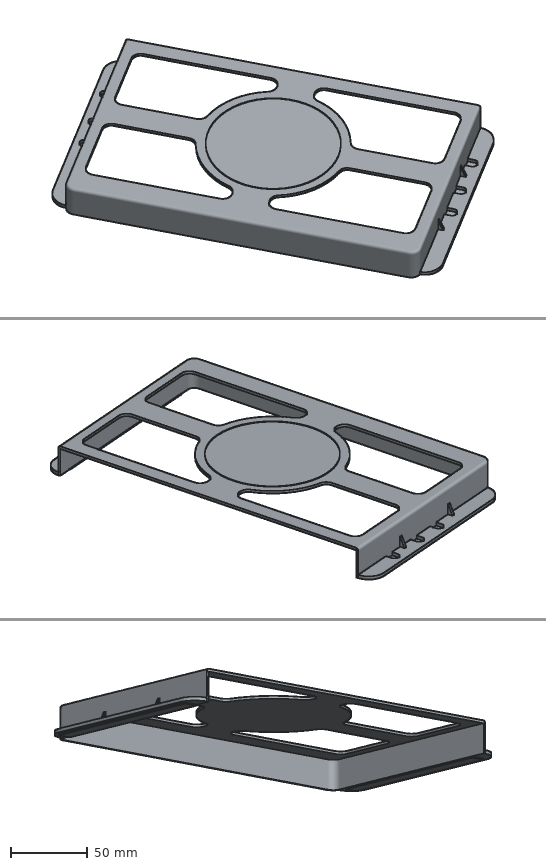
import cadquery as cq

body_width = 241.3
body_height = 22.22
body_depth = 150.98
back_y = 72.4
front_y = back_y - body_depth
wall_thickness = 1.5
panel_thickness = 2.0
corner_radius = 6.8
top_edge_radius = 2.0

disc_radius = 50.8
recess_radius = 44.3
recess_depth = 0.5
window_outer_x = 112.0
window_inner_x = 12.7
window_outer_y = 61.3
window_inner_y = 9.7
window_corner_radius = 6.35

total_width = 265.3
total_height = 23.06
flange_length = 146.2
flange_thickness = 2.5
flange_corner_radius = 12.3
pad_thickness = total_height - body_height
pad_edge_gap = 3.4
pad_width = 9.6
pad_back_y = 60.5
pad_front_y = -65.7

slot_width = 6.8
slot_edge_gap = 4.2
slot_positions = (37.7, 9.9, -12.1)
rib_positions = (24.4, -29.8)
rib_thickness = 2.0
rib_length = 3.7
rib_height = 7.6

body_half_width = body_width / 2
flange_half_width = total_width / 2
inner_half_width = body_half_width - wall_thickness


def box(x_min, x_max, y_min, y_max, z_min, z_max):
    """Axis-aligned box between the given limits."""
    size = (x_max - x_min, y_max - y_min, z_max - z_min)
    return cq.Workplane("XY").box(*size, centered=False).translate((x_min, y_min, z_min))


def make_body():
    """Cover open at the bottom and the back, rounded at the front corners and along the top edges."""
    outer = box(-body_half_width, body_half_width, front_y, back_y, 0, body_height)
    outer = outer.edges("|Z and <Y").fillet(corner_radius)
    outer = outer.faces(">Z").edges("not >Y").fillet(top_edge_radius)
    cavity = box(
        -inner_half_width,
        inner_half_width,
        front_y + wall_thickness,
        back_y,
        0,
        body_height - panel_thickness,
    )
    cavity = cavity.edges("|Z and <Y").fillet(corner_radius - wall_thickness)
    return outer.cut(cavity)


def make_window():
    """Cutter for the +X +Y window: a rectangle bitten by the disc, with all its corners rounded."""
    window = box(window_inner_x, window_outer_x, window_inner_y, window_outer_y, 0, body_height)
    disc = cq.Workplane("XY").circle(disc_radius).extrude(body_height)
    return window.cut(disc).edges("|Z").fillet(window_corner_radius)


def cut_windows(part):
    """Open the four windows, mirrored about both axes of the disc."""
    right_back = make_window()
    right_front = right_back.mirror("XZ")
    for window in (right_back, right_front):
        part = part.cut(window).cut(window.mirror("YZ"))
    return part


def make_recess():
    """Cutter for the shallow round recess in the disc."""
    floor = cq.Workplane("XY").workplane(offset=body_height - recess_depth)
    return floor.circle(recess_radius).extrude(recess_depth)


def make_rib(y):
    """Triangular gusset between the +X wall and its flange, centred on y and rooted inside the wall."""
    root_x = -wall_thickness / 2
    start = cq.Workplane("XZ", origin=(body_half_width, y + rib_thickness / 2, flange_thickness))
    profile = start.moveTo(root_x, 0).lineTo(rib_length, 0).lineTo(0, rib_height)
    return profile.lineTo(root_x, rib_height).close().extrude(rib_thickness)


def make_slot(y):
    """Cutter for a slot that runs out from the +X wall and ends in a half circle."""
    end_x = flange_half_width - slot_edge_gap
    end_radius = slot_width / 2
    straight_end_x = end_x - end_radius
    start = cq.Workplane("XY").moveTo(body_half_width, y - end_radius).lineTo(straight_end_x, y - end_radius)
    rounded = start.threePointArc((end_x, y), (straight_end_x, y + end_radius))
    return rounded.lineTo(body_half_width, y + end_radius).close().extrude(flange_thickness)


def make_flange():
    """The +X flange with its pad, slots and ribs."""
    flange = box(inner_half_width, flange_half_width, back_y - flange_length, back_y, 0, flange_thickness)
    flange = flange.edges("|Z and >X").fillet(flange_corner_radius)
    for y in slot_positions:
        flange = flange.cut(make_slot(y))
    pad_outer_x = flange_half_width - pad_edge_gap
    pad_inner_x = pad_outer_x - pad_width
    flange = flange.union(box(pad_inner_x, pad_outer_x, pad_front_y, pad_back_y, -pad_thickness, 0))
    for y in rib_positions:
        flange = flange.union(make_rib(y))
    return flange


right_flange = make_flange()
result = cut_windows(make_body()).cut(make_recess())
result = result.union(right_flange).union(right_flange.mirror("YZ"))